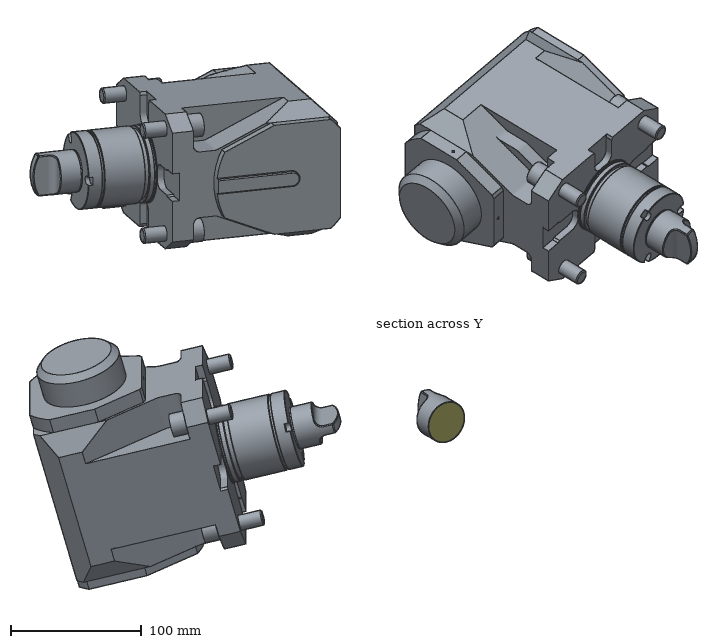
import cadquery as cq
import math


half_width = 65.0
half_height = 54.0
side_axis_y = 90.0
side_half_height = 43.5
back_y = side_axis_y + side_half_height
back_chamfer = 15.5
edge_chamfer_x = 16.6

flange_thickness = 17.0
pocket_floor_z = 26.3
pocket_slope = math.radians(23.4)
pocket_slope_top_y = 99.4
pocket_corner_radius = 5.5
pocket_bend_radius = 6.7

bolt_x = 47.0
bolt_z = 42.0
bolt_diameter = 12.0
bolt_head_diameter = 18.0
bolt_head_height = 12.0
bolt_end_y = -18.2
bolt_end_chamfer = 1.0
pocket_wall_x = bolt_x - bolt_head_diameter / 2

shelf_wall_x = 27.0
shelf_end_y = 23.8
shelf_top_z = 42.5
shelf_slope_y = 54.0
shelf_end_radius = 8.3
shelf_bend_radius = 9.5

keyway_depth = 5.6
keyway_half_width = 10.0
keyway_mouth_half_width = 11.0
keyway_inner_end = 29.7
keyway_corner_radius = 7.6
side_mouth_start = 51.7
side_mouth_end = 53.5
end_mouth_start = 51.5

left_plate_x = -76.5
left_plate_front_y = 45.0
left_plate_slope_y = 82.0
left_plate_corner_radius = 51.7
left_plate_fillet = 2.2
right_plate_x = 72.0
right_plate_slope_y = 80.0
right_plate_radius = 56.5
cap_diameter = 65.2
cap_face_diameter = 55.3
cap_face_x = -102.0
cap_chamfer_x = 5.2
key_width = 12.0
key_outer_x = 75.5
key_back_y = 99.8
key_chamfer = 1.0
pin_hole_diameter = 2.1
pin_hole_depth = 2.2
pin_hole_x = -71.0

collar_diameter = 59.8
collar_chamfer = 0.5
seat_ring_diameter = 60.7
seat_ring_y = -0.7
neck_diameter = 58.5
groove_diameter = 55.3
neck_y = -1.8
ring_y = -6.0
groove_y = -9.5
thin_groove_y = -42.5
thin_groove_width = 1.5
thin_groove_diameter = 57.5
collar_end_y = -55.5
undercut_y = -56.6
undercut_diameter = 32.4
tang_diameter = 33.0
tang_shoulder_y = -73.5
tang_thickness = 8.3
tang_fillet = 5.8
tang_tip_y = -91.3
tang_tip_radius = 32.5
tang_chamfer = 0.7
notch_width = 6.3
notch_depth = 3.5
notch_radius_position = 25.2
notch_count = 3


def box(x0, x1, y0, y1, z0, z1):
    """Box between two opposite corners."""
    return cq.Workplane("XY").box(x1 - x0, y1 - y0, z1 - z0, centered=False).translate((x0, y0, z0))


def extrude_x(outline, x0, x1):
    """Extrude a (Y, Z) outline from x0 to x1."""
    return cq.Workplane("YZ", origin=(x0, 0, 0)).polyline(outline).close().extrude(x1 - x0)


def extrude_y(outline, y0, y1):
    """Extrude an (X, Z) outline from y0 to y1."""
    return cq.Workplane("XZ", origin=(0, y0, 0)).polyline(outline).close().extrude(y0 - y1)


def cylinder_x(diameter, x0, x1, y=side_axis_y):
    return cq.Workplane("YZ", origin=(x0, y, 0)).circle(diameter / 2).extrude(x1 - x0)


def cylinder_y(diameter, y0, y1, x=0, z=0):
    return cq.Workplane("XZ", origin=(x, y0, z)).circle(diameter / 2).extrude(y0 - y1)


def fillet_at(body, radius, y, z):
    """Round the edge along X that passes through (y, z)."""
    reach = 0.11
    low_corner = (-half_width, y - reach, z - reach)
    high_corner = (half_width, y + reach, z + reach)
    selector = cq.selectors.BoxSelector(low_corner, high_corner)
    return body.edges("|X").edges(selector).fillet(radius)


def mirrored_outline(upper):
    """Complete an outline that is symmetric about Z = 0 from its upper points."""
    return upper + [(along, -z) for along, z in reversed(upper)]


def make_block():
    flat_x = half_width - edge_chamfer_x
    front = [
        (-half_width, side_half_height),
        (-flat_x, half_height),
        (flat_x, half_height),
        (half_width, side_half_height),
    ]
    side = [
        (0, half_height),
        (back_y - back_chamfer, half_height),
        (back_y, half_height - back_chamfer),
    ]
    block = extrude_y(mirrored_outline(front), 0, back_y)
    return block.intersect(extrude_x(mirrored_outline(side), -half_width, half_width))


def make_pocket(x0, x1):
    """Upper relief pocket with a sloped back and a flat floor."""
    floor_back_y = pocket_slope_top_y - (half_height - pocket_floor_z) / math.tan(pocket_slope)
    outline = [
        (flange_thickness, half_height),
        (flange_thickness, pocket_floor_z),
        (floor_back_y, pocket_floor_z),
        (pocket_slope_top_y, half_height),
    ]
    pocket = extrude_x(outline, x0, x1)
    pocket = fillet_at(pocket, pocket_corner_radius, flange_thickness, pocket_floor_z)
    return fillet_at(pocket, pocket_bend_radius, floor_back_y, pocket_floor_z)


def make_shelf_pocket():
    """Shallow relief between the shelf wall and the upper left pocket."""
    end_z = shelf_top_z - (shelf_slope_y - shelf_end_y) * math.tan(pocket_slope)
    shelf_back_y = pocket_slope_top_y - (half_height - shelf_top_z) / math.tan(pocket_slope)
    outline = [
        (shelf_end_y, half_height),
        (shelf_end_y, end_z),
        (shelf_slope_y, shelf_top_z),
        (shelf_back_y, shelf_top_z),
        (pocket_slope_top_y, half_height),
    ]
    pocket = extrude_x(outline, -pocket_wall_x, -shelf_wall_x)
    pocket = fillet_at(pocket, shelf_end_radius, shelf_end_y, end_z)
    for bend_y in (shelf_slope_y, shelf_back_y):
        pocket = fillet_at(pocket, shelf_bend_radius, bend_y, shelf_top_z)
    return pocket


def make_keyway(mouth_start, mouth_end):
    """Keyway running towards +X, with a rounded inner end and a wider mouth."""
    outline = [
        (keyway_inner_end, keyway_half_width),
        (mouth_start, keyway_half_width),
        (mouth_end, keyway_mouth_half_width),
        (half_width, keyway_mouth_half_width),
    ]
    keyway = extrude_y(mirrored_outline(outline), 0, keyway_depth)
    return keyway.edges("|Y").edges("<X").fillet(keyway_corner_radius)


def make_bolt(x, z):
    bolt = cylinder_y(bolt_diameter, bolt_end_y, flange_thickness, x, z)
    bolt = bolt.faces("<Y").chamfer(bolt_end_chamfer)
    head_y = flange_thickness
    return bolt.union(cylinder_y(bolt_head_diameter, head_y, head_y + bolt_head_height, x, z))


def make_left_plate():
    front_z = side_half_height - (left_plate_slope_y - left_plate_front_y) * math.tan(pocket_slope)
    outline = [
        (left_plate_front_y, front_z),
        (left_plate_slope_y, side_half_height),
        (back_y, side_half_height),
    ]
    plate = extrude_x(mirrored_outline(outline), left_plate_x, -half_width)
    plate = plate.edges("|X").edges("<Y").fillet(left_plate_fillet)
    rounding = cylinder_x(2 * left_plate_corner_radius, left_plate_x, -half_width)
    plate = plate.intersect(rounding)
    across = cq.Workplane("XY", origin=(pin_hole_x, side_axis_y, side_half_height - pin_hole_depth))
    top_hole = across.circle(pin_hole_diameter / 2).extrude(pin_hole_depth)
    front_hole = cylinder_y(
        pin_hole_diameter, left_plate_front_y, left_plate_front_y + pin_hole_depth, pin_hole_x
    )
    return plate.cut(top_hole).cut(front_hole)


def make_right_plate():
    front_y = side_axis_y - right_plate_radius
    front_z = side_half_height - (right_plate_slope_y - front_y) * math.tan(pocket_slope)
    outline = [
        (front_y, front_z),
        (right_plate_slope_y, side_half_height),
        (back_y, side_half_height),
    ]
    plate = extrude_x(mirrored_outline(outline), half_width, right_plate_x)
    return plate.intersect(cylinder_x(2 * right_plate_radius, half_width, right_plate_x))


def make_key():
    """Flat bar on the right plate with a rounded back end and a front end flush with the plate."""
    round_y = key_back_y - key_width / 2
    front_y = side_axis_y - right_plate_radius
    key = box(right_plate_x, key_outer_x, front_y, round_y, -key_width / 2, key_width / 2)
    key = key.union(cylinder_x(key_width, right_plate_x, key_outer_x, round_y))
    key = key.intersect(cylinder_x(2 * right_plate_radius, right_plate_x, key_outer_x))
    return key.faces(">X").edges("not <Y").chamfer(key_chamfer)


def make_cap():
    radius = cap_diameter / 2
    face_radius = cap_face_diameter / 2
    cap = cylinder_x(cap_diameter, cap_face_x, left_plate_x)
    return cap.faces("<X").chamfer(cap_chamfer_x, radius - face_radius)


def make_spindle():
    thin_groove_end_y = thin_groove_y - thin_groove_width
    sections = [
        (seat_ring_diameter, 0, seat_ring_y),
        (neck_diameter, seat_ring_y, neck_y),
        (collar_diameter, neck_y, ring_y),
        (groove_diameter, ring_y, groove_y),
        (collar_diameter, groove_y, thin_groove_y),
        (thin_groove_diameter, thin_groove_y, thin_groove_end_y),
        (collar_diameter, thin_groove_end_y, collar_end_y),
        (undercut_diameter, collar_end_y, undercut_y),
    ]
    spindle = cq.Workplane()
    for diameter, start_y, end_y in sections:
        section = cylinder_y(diameter, end_y, start_y)
        if diameter == collar_diameter:
            section = section.faces("<Y or >Y").chamfer(collar_chamfer)
        spindle = spindle.union(section)
    for i in range(notch_count):
        spindle = spindle.cut(make_notch().rotate((0, 0, 0), (0, 1, 0), i * 360 / notch_count))
    return spindle.union(make_tang())


def make_notch():
    top_y = collar_end_y + notch_depth
    half = notch_width / 2
    notch = box(notch_radius_position, collar_diameter, collar_end_y, top_y, -half, half)
    return notch.union(cylinder_y(notch_width, collar_end_y, top_y, notch_radius_position))


def make_tang():
    """Round shank that narrows to a flat tongue with a domed tip."""
    tang = cylinder_y(tang_diameter, tang_tip_y, undercut_y)
    dome = cq.Workplane("YZ", origin=(-tang_diameter, tang_tip_y + tang_tip_radius, 0))
    dome = dome.circle(tang_tip_radius).extrude(2 * tang_diameter)
    dome = dome.union(
        box(-tang_diameter, tang_diameter, tang_shoulder_y, 0, -tang_diameter, tang_diameter)
    )
    tang = tang.intersect(dome)
    for side in (-1, 1):
        inner_x = side * tang_thickness / 2
        outer_x = side * tang_diameter
        x0, x1 = sorted((inner_x, outer_x))
        cutter = box(x0, x1, tang_tip_y, tang_shoulder_y, -tang_diameter, tang_diameter)
        inner_edge = ">Y and <X" if side > 0 else ">Y and >X"
        cutter = cutter.edges("|Z").edges(inner_edge).fillet(tang_fillet)
        tang = tang.cut(cutter)
    root_clearance = 2.2
    shaped_edges = cq.selectors.BoxSelector(
        (-tang_diameter, 2 * tang_tip_y, -tang_diameter),
        (tang_diameter, undercut_y - root_clearance, tang_diameter),
    )
    return tang.edges(shaped_edges).edges("not |Z").chamfer(tang_chamfer)


housing = make_block()
for upper_pocket in (make_pocket(-half_width, -pocket_wall_x), make_pocket(pocket_wall_x, half_width)):
    housing = housing.cut(upper_pocket).cut(upper_pocket.mirror("XY"))
housing = housing.cut(make_shelf_pocket())

side_keyway = make_keyway(side_mouth_start, side_mouth_end)
end_keyway = make_keyway(end_mouth_start, half_height)
for keyway, first_angle in ((side_keyway, 0), (end_keyway, 90)):
    for angle in (first_angle, first_angle + 180):
        housing = housing.cut(keyway.rotate((0, 0, 0), (0, 1, 0), angle))

result = housing
for attachment in (make_left_plate(), make_cap(), make_right_plate(), make_key(), make_spindle()):
    result = result.union(attachment)
for x_side in (-1, 1):
    for z_side in (-1, 1):
        result = result.union(make_bolt(x_side * bolt_x, z_side * bolt_z))